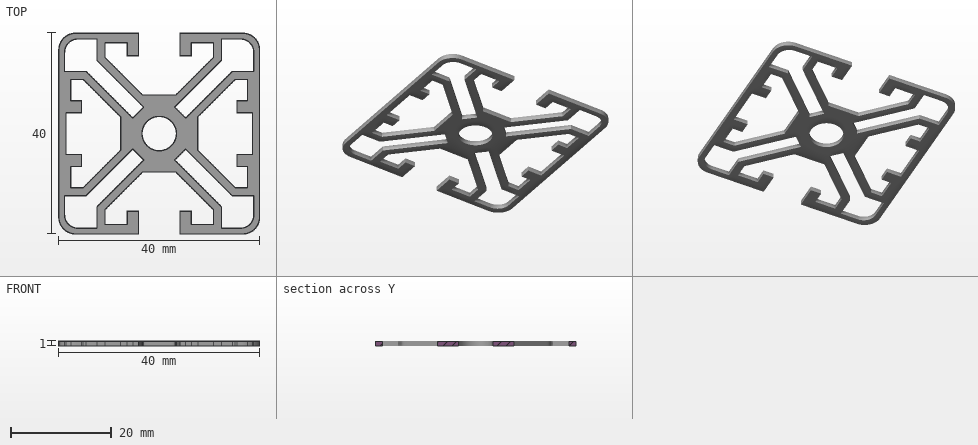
import cadquery as cq
import math

side = 40
thickness = 1.0
corner_radius = 3.4
half_side = side / 2

bore_diameter = 6.8
hub_half_width = 7.7

slot_offset = 2.15
web_outer_offset = 4.35
slot_end_sum = 8.35

pocket_outer = 18.8
pocket_inner = 12.4
pocket_radius = 2.6

channel_half_width = 10.75
lip_half_gap = 4.1
lip_bottom = 15.45
open_lip_half_width = 6.4
open_lip_top = 18.05
closed_lip_half_width = 6.55
closed_lip_top = 17.55
closed_channel_floor = 18.5


def mirrored_prism(half_outline):
    """Extrude an outline given by its +X half, symmetric about the Y axis."""
    other_half = [(-x, y) for x, y in reversed(half_outline)]
    return cq.Workplane("XY").polyline(half_outline + other_half).close().extrude(thickness)


def channel(lip_half_width, lip_top, opening_end):
    """Channel on the +Y side, flared from the hub and narrowed by two lips."""
    return mirrored_prism([
        (hub_half_width - web_outer_offset, hub_half_width),
        (channel_half_width, channel_half_width + web_outer_offset),
        (channel_half_width, lip_top),
        (lip_half_width, lip_top),
        (lip_half_width, lip_bottom),
        (lip_half_gap, lip_bottom),
        (lip_half_gap, opening_end),
    ])


def corner_pocket():
    """Rounded pocket in the +X +Y corner, running into the diagonal slot."""
    slot_end_near = (slot_end_sum - slot_offset) / 2
    slot_end_far = (slot_end_sum + slot_offset) / 2
    arc_start = pocket_outer - pocket_radius
    arc_middle = arc_start + pocket_radius * math.sqrt(0.5)
    return (
        cq.Workplane("XY")
        .moveTo(slot_end_near, slot_end_far)
        .lineTo(pocket_inner, pocket_inner + slot_offset)
        .lineTo(pocket_inner, pocket_outer)
        .lineTo(arc_start, pocket_outer)
        .threePointArc((arc_middle, arc_middle), (pocket_outer, arc_start))
        .lineTo(pocket_outer, pocket_inner)
        .lineTo(pocket_inner + slot_offset, pocket_inner)
        .lineTo(slot_end_far, slot_end_near)
        .close()
        .extrude(thickness)
    )


def turned(shape, angle):
    return shape.rotate((0, 0, 0), (0, 0, 1), angle)


result = (
    cq.Workplane("XY")
    .rect(side, side)
    .extrude(thickness)
    .edges("|Z")
    .fillet(corner_radius)
    .faces(">Z")
    .workplane()
    .hole(bore_diameter)
)

pocket = corner_pocket()
for angle in (0, 90, 180, 270):
    result = result.cut(turned(pocket, angle))

open_channel = channel(open_lip_half_width, open_lip_top, half_side)
for angle in (0, 180):
    result = result.cut(turned(open_channel, angle))

closed_channel = channel(closed_lip_half_width, closed_lip_top, closed_channel_floor)
for angle in (90, 270):
    result = result.cut(turned(closed_channel, angle))